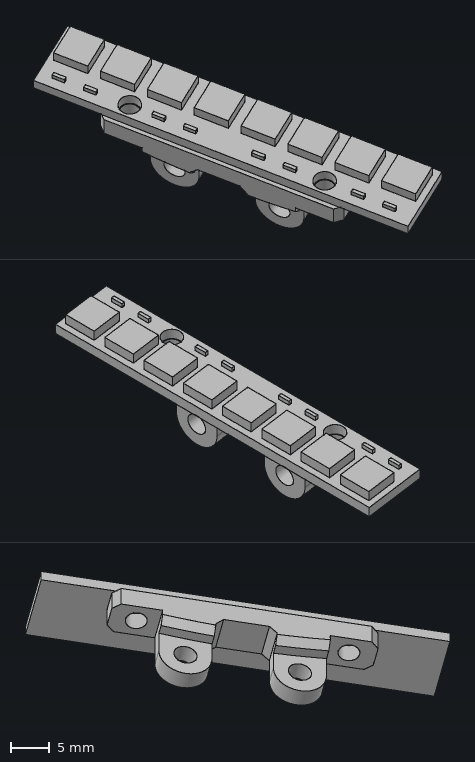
import cadquery as cq

board_length = 53.7
board_width = 9.95
board_thickness = 1.6
board_back_y = board_width / 2
board_hole_diameter = 3.0

led_count = 8
led_pitch = board_length / led_count
led_size = 4.9
led_height = 1.55
led_back_margin = 0.95
led_y = board_back_y - led_back_margin - led_size / 2

chip_length = 1.75
chip_width = 0.5
chip_height = 0.65
chip_back_margin = 8.05
chip_y = board_back_y - chip_back_margin - chip_width / 2
chip_spacing = 4.5
chip_pair_count = 4
chip_pair_pitch = 14.3
chip_row_shift = -0.25

bar_length = 34.95
bar_depth = 5.0
bar_height = 2.9
bar_chamfer = 1.0
bar_overhang = 0.6
bar_front_y = -board_width / 2 - bar_overhang
bar_back_y = bar_front_y + bar_depth
bar_center_y = (bar_front_y + bar_back_y) / 2

mount_hole_spacing = 27.9
bracket_hole_diameter = 2.8

ear_spacing = 15.05
ear_radius = 3.5
ear_thickness = 2.6
ear_hole_diameter = 3.0
ear_hole_z = -7.95
gusset_size = 1.0

ledge_low_z = -5.25
ledge_bow_radius = 107.4
ledge_chamfer = 1.0


def block(length, width, height, x, y, base_z):
    """Box centred on (x, y) and standing on base_z."""
    return (
        cq.Workplane("XY", origin=(x, y, base_z))
        .box(length, width, height, centered=(True, True, False))
    )


def mount_holes(diameter, base_z, height):
    """Pair of vertical cylinders that cut the mounting holes."""
    half_spacing = mount_hole_spacing / 2
    return (
        cq.Workplane("XY", origin=(0, bar_center_y, base_z))
        .pushPoints([(-half_spacing, 0), (half_spacing, 0)])
        .circle(diameter / 2)
        .extrude(height)
    )


def row_positions(count, pitch):
    """X positions of a row of items centred on zero."""
    return [(index - (count - 1) / 2) * pitch for index in range(count)]


def make_board():
    """Circuit board with its LEDs and chips."""
    board = block(board_length, board_width, board_thickness, 0, 0, 0)
    for x in row_positions(led_count, led_pitch):
        board = board.union(block(led_size, led_size, led_height, x, led_y, board_thickness))
    for pair_x in row_positions(chip_pair_count, chip_pair_pitch):
        for offset in row_positions(2, chip_spacing):
            x = chip_row_shift + pair_x + offset
            board = board.union(block(chip_length, chip_width, chip_height, x, chip_y, board_thickness))
    return board.cut(mount_holes(board_hole_diameter, 0, board_thickness))


def make_bar():
    """Mounting bar with chamfered vertical edges."""
    bar = block(bar_length, bar_depth, bar_height, 0, bar_center_y, -bar_height)
    bar = bar.edges("|Z").chamfer(bar_chamfer)
    return bar.cut(mount_holes(bracket_hole_diameter, -bar_height, bar_height))


def make_ear(center_x):
    """Round-ended ear hanging from the bar."""
    left = center_x - ear_radius
    right = center_x + ear_radius
    return (
        cq.Workplane("XZ", origin=(0, bar_back_y, 0))
        .moveTo(left, -bar_height)
        .lineTo(left, ear_hole_z)
        .threePointArc((center_x, ear_hole_z - ear_radius), (right, ear_hole_z))
        .lineTo(right, -bar_height)
        .close()
        .moveTo(center_x, ear_hole_z)
        .circle(ear_hole_diameter / 2)
        .extrude(ear_thickness)
    )


def make_ledge(center_x):
    """Ledge as wide as the ear, trimmed below by a large chamfered disc."""
    ledge_height = -bar_height - ledge_low_z
    ledge = block(2 * ear_radius, bar_depth, ledge_height, center_x, bar_center_y, ledge_low_z)
    disc = (
        cq.Workplane("XZ", origin=(0, bar_back_y, ledge_low_z + ledge_bow_radius))
        .circle(ledge_bow_radius)
        .extrude(bar_depth)
        .faces("<Y")
        .chamfer(ledge_chamfer)
    )
    return ledge.intersect(disc)


def make_gusset(side):
    """45 degree gusset between the bar and the inner side of an ear."""
    inner_x = side * (ear_spacing / 2 - ear_radius)
    return (
        cq.Workplane("XZ", origin=(0, bar_back_y, 0))
        .moveTo(inner_x, -bar_height)
        .lineTo(inner_x - side * gusset_size, -bar_height)
        .lineTo(inner_x, -bar_height - gusset_size)
        .close()
        .extrude(bar_depth)
    )


def make_bracket():
    """Bar with its two ears, ledges and gussets as one solid."""
    bracket = make_bar()
    for side in (-1, 1):
        ear_x = side * ear_spacing / 2
        bracket = bracket.union(make_ear(ear_x))
        bracket = bracket.union(make_ledge(ear_x))
        bracket = bracket.union(make_gusset(side))
    return bracket


board = make_board()
bracket = make_bracket()

result = cq.Compound.makeCompound([board.solids().val(), bracket.solids().val()])